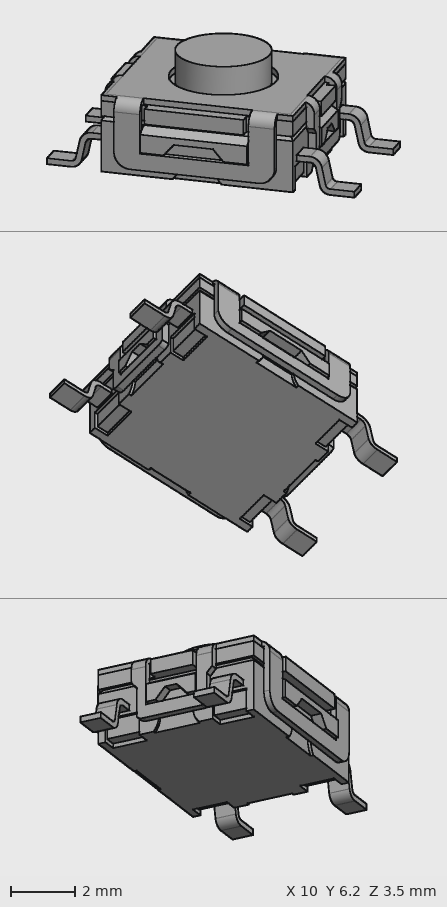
import cadquery as cq
import math


BODY_X = 6.24
BODY_Y = 5.48
BASE_BOTTOM = 0.1
BASE_SHOULDER = 1.79
BASE_TOP = 1.94
SHOULDER_INSET = 0.11

SWITCH_X = 6.92
SWITCH_Y = 6.2
LUG_BOTTOM = 1.0
LUG_EDGE = 1.6
LUG_NOTCH_TOP = 1.38
LUG_NOTCH_TAPER = 0.34
FRONT_LUG_WIDTH = 3.47
SIDE_LUG_WIDTH = 1.72
FRONT_NOTCH_WIDTH = 1.94
SIDE_NOTCH_WIDTH = 1.08

FLARE_NECK = 1.2
FLARE_RADIUS = 0.75
FLARE_TOP = 0.6
FLARE_DEPTH = 0.1

TERMINAL_SPAN = 10.0
TERMINAL_PITCH = 4.0
TERMINAL_WIDTH = 0.72
TERMINAL_THICK = 0.2
TERMINAL_TOP = 1.2
UPPER_BEND_X = 3.55
LOWER_BEND_X = 4.21
UPPER_BEND_OUTER = 0.4
LOWER_BEND_INNER = 0.15
UPPER_BEND_INNER = UPPER_BEND_OUTER - TERMINAL_THICK
LOWER_BEND_OUTER = LOWER_BEND_INNER + TERMINAL_THICK

RELIEF_INNER_Y = 1.29
RELIEF_OUTER_Y = 2.48
RELIEF_TOP = 0.88
RELIEF_DEPTH = 0.1
UNDERCUT_TOP = 0.25
UNDERCUT_DEPTH = 0.5

CAP_TOP = 2.44
TAB_SETBACK = 0.05
FRONT_TAB_WIDTH = 3.22
SIDE_TAB_WIDTH = 1.48
KEY_DIAMETER = 3.0
KEY_TOP = 3.5

COVER_X = 6.8
COVER_Y = 6.06
COVER_TOP = 2.64
COVER_INNER_X = 6.28
COVER_INNER_Y = 5.64
COVER_BEND = 0.4
KEY_HOLE_DIAMETER = 3.4
WINDOW_BOTTOM = 0.94
FRONT_WINDOW_WIDTH = 3.53
FRONT_WINDOW_BACK = 2.64
SIDE_WINDOW_BACK = COVER_X / 2 - COVER_BEND
SIDE_WINDOW_LOW_Y = -SIDE_LUG_WIDTH / 2
SIDE_WINDOW_HIGH_Y = 0.92
FRONT_FRAME_WIDTH = 5.22
FRONT_FRAME_BOTTOM = 0.39
FRONT_FRAME_CORNER = 0.52
SIDE_FRAME_WIDTH = 2.84
SIDE_FRAME_WAIST = 2.45
SIDE_FRAME_BOTTOM = 0.5
SIDE_FRAME_TAPER_TOP = 1.76
SIDE_FRAME_TAPER_BOTTOM = 1.55
SIDE_FRAME_CORNER_RUN = 0.2
SIDE_FRAME_CORNER_RISE = 0.08
SIDE_FRAME_CORNER_RADIUS = 0.3


def box(x_range, y_range, z_range):
    """Axis-aligned box from three (low, high) pairs."""
    sizes = [high - low for low, high in (x_range, y_range, z_range)]
    corner = (x_range[0], y_range[0], z_range[0])
    return cq.Workplane("XY").box(*sizes, centered=False).translate(corner)


def block(size_x, size_y, bottom, top):
    """Box centred on the Z axis."""
    return box((-size_x / 2, size_x / 2), (-size_y / 2, size_y / 2), (bottom, top))


def lug_bar(width, reach, wall):
    """Bar along X that forms the front and the rear lug, sloping down from the wall to the lug edge."""
    profile = [
        (-reach, LUG_BOTTOM),
        (-reach, LUG_EDGE),
        (-wall, BASE_SHOULDER),
        (wall, BASE_SHOULDER),
        (reach, LUG_EDGE),
        (reach, LUG_BOTTOM),
    ]
    return cq.Workplane("YZ").polyline(profile).close().extrude(width / 2, both=True)


def lug_notches(width, reach, wall):
    """Trapezoidal notches that open at the bottom of the front and the rear lug."""
    half = width / 2
    profile = [
        (-half, LUG_BOTTOM),
        (half, LUG_BOTTOM),
        (half - LUG_NOTCH_TAPER, LUG_NOTCH_TOP),
        (-half + LUG_NOTCH_TAPER, LUG_NOTCH_TOP),
    ]
    bar = cq.Workplane("XZ").polyline(profile).close().extrude(reach, both=True)
    return bar.cut(block(width, 2 * wall, LUG_BOTTOM, LUG_NOTCH_TOP))


def flared_recesses(wall):
    """Recesses in the front and the rear wall, with arc sides that widen towards the bottom."""
    neck = FLARE_NECK / 2
    drop = FLARE_TOP - BASE_BOTTOM
    foot = neck + FLARE_RADIUS - math.sqrt(FLARE_RADIUS**2 - drop**2)
    middle_drop = drop / 2
    middle = neck + FLARE_RADIUS - math.sqrt(FLARE_RADIUS**2 - middle_drop**2)
    middle_z = FLARE_TOP - middle_drop
    bar = (
        cq.Workplane("XZ")
        .moveTo(-foot, BASE_BOTTOM)
        .lineTo(foot, BASE_BOTTOM)
        .threePointArc((middle, middle_z), (neck, FLARE_TOP))
        .lineTo(-neck, FLARE_TOP)
        .threePointArc((-middle, middle_z), (-foot, BASE_BOTTOM))
        .close()
        .extrude(wall, both=True)
    )
    return bar.cut(block(2 * foot, 2 * (wall - FLARE_DEPTH), BASE_BOTTOM, FLARE_TOP))


def quarter_turn(shape):
    """Turn a front and rear feature to the two sides."""
    return shape.rotate((0, 0, 0), (0, 0, 1), 90)


def terminal_reliefs():
    """Recesses in the side walls below the terminals, deeper along the bottom edge."""
    half = BODY_X / 2
    reliefs = cq.Workplane("XY")
    for y_range in ((-RELIEF_OUTER_Y, -RELIEF_INNER_Y), (RELIEF_INNER_Y, RELIEF_OUTER_Y)):
        for side in (-1, 1):
            for depth, top in ((RELIEF_DEPTH, RELIEF_TOP), (UNDERCUT_DEPTH, UNDERCUT_TOP)):
                x_range = sorted((side * half, side * (half - depth)))
                reliefs = reliefs.add(box(x_range, y_range, (BASE_BOTTOM, top)))
    return reliefs.combine()


def terminal(center_y):
    """Strip that runs through the base and ends in a bent foot on each side."""
    foot_end = TERMINAL_SPAN / 2
    upper_z = TERMINAL_TOP - UPPER_BEND_OUTER
    lower_z = LOWER_BEND_OUTER
    run = LOWER_BEND_X - UPPER_BEND_X
    drop = upper_z - lower_z
    radius_sum = UPPER_BEND_OUTER + LOWER_BEND_INNER
    lean = math.acos(radius_sum / math.hypot(run, drop)) - math.atan2(drop, run)

    def on_upper(radius, angle):
        return UPPER_BEND_X + radius * math.cos(angle), upper_z + radius * math.sin(angle)

    def on_lower(radius, angle):
        return LOWER_BEND_X - radius * math.cos(angle), lower_z - radius * math.sin(angle)

    middle = (lean + math.pi / 2) / 2
    leg = (
        cq.Workplane("XZ")
        .moveTo(0, TERMINAL_TOP)
        .lineTo(UPPER_BEND_X, TERMINAL_TOP)
        .threePointArc(on_upper(UPPER_BEND_OUTER, middle), on_upper(UPPER_BEND_OUTER, lean))
        .lineTo(*on_lower(LOWER_BEND_INNER, lean))
        .threePointArc(on_lower(LOWER_BEND_INNER, middle), (LOWER_BEND_X, TERMINAL_THICK))
        .lineTo(foot_end, TERMINAL_THICK)
        .lineTo(foot_end, 0)
        .lineTo(LOWER_BEND_X, 0)
        .threePointArc(on_lower(LOWER_BEND_OUTER, middle), on_lower(LOWER_BEND_OUTER, lean))
        .lineTo(*on_upper(UPPER_BEND_INNER, lean))
        .threePointArc(on_upper(UPPER_BEND_INNER, middle), (UPPER_BEND_X, TERMINAL_TOP - TERMINAL_THICK))
        .lineTo(0, TERMINAL_TOP - TERMINAL_THICK)
        .close()
        .extrude(TERMINAL_WIDTH / 2, both=True)
    )
    return leg.union(leg.mirror("YZ")).translate((0, center_y, 0))


def make_base(terminals):
    """Block with a sloped shoulder, four lugs and wall recesses, moulded around the terminals."""
    half_x = BODY_X / 2
    half_y = BODY_Y / 2
    shoulder_height = BASE_TOP - BASE_SHOULDER
    base = block(BODY_X, BODY_Y, BASE_BOTTOM, BASE_TOP)
    base = base.faces(">Z").edges().chamfer(shoulder_height, SHOULDER_INSET)
    base = base.union(lug_bar(FRONT_LUG_WIDTH, SWITCH_Y / 2, half_y))
    base = base.union(quarter_turn(lug_bar(SIDE_LUG_WIDTH, SWITCH_X / 2, half_x)))
    base = base.cut(lug_notches(FRONT_NOTCH_WIDTH, SWITCH_Y / 2, half_y))
    base = base.cut(quarter_turn(lug_notches(SIDE_NOTCH_WIDTH, SWITCH_X / 2, half_x)))
    base = base.cut(flared_recesses(half_y))
    base = base.cut(quarter_turn(flared_recesses(half_x)))
    base = base.cut(terminal_reliefs())
    for strip in terminals:
        base = base.cut(strip)
    return base


def make_seal_cap():
    """Plate between base and cover, with a tab in each cover window and the round key on top."""
    plate = block(BODY_X, BODY_Y, BASE_TOP, CAP_TOP)
    front_tabs = block(FRONT_TAB_WIDTH, SWITCH_Y - 2 * TAB_SETBACK, BASE_TOP, CAP_TOP)
    side_tabs = block(SWITCH_X - 2 * TAB_SETBACK, SIDE_TAB_WIDTH, BASE_TOP, CAP_TOP)
    key = cq.Workplane("XY").workplane(offset=BASE_TOP).circle(KEY_DIAMETER / 2).extrude(KEY_TOP - BASE_TOP)
    return plate.union(front_tabs).union(side_tabs).union(key)


def front_frame():
    """Outline of the front and rear flanges, as a bar along Y."""
    bar = block(FRONT_FRAME_WIDTH, COVER_Y, FRONT_FRAME_BOTTOM, COVER_TOP)
    return bar.edges("|Y and <Z").fillet(FRONT_FRAME_CORNER)


def side_frame():
    """Outline of the side flanges, as a bar along X that tapers to a narrower waist."""
    half = SIDE_FRAME_WIDTH / 2
    waist = SIDE_FRAME_WAIST / 2
    foot = waist - SIDE_FRAME_CORNER_RUN
    corner_z = SIDE_FRAME_BOTTOM + SIDE_FRAME_CORNER_RISE
    return (
        cq.Workplane("YZ")
        .moveTo(-half, COVER_TOP)
        .lineTo(-half, SIDE_FRAME_TAPER_TOP)
        .lineTo(-waist, SIDE_FRAME_TAPER_BOTTOM)
        .lineTo(-waist, corner_z)
        .radiusArc((-foot, SIDE_FRAME_BOTTOM), -SIDE_FRAME_CORNER_RADIUS)
        .lineTo(foot, SIDE_FRAME_BOTTOM)
        .radiusArc((waist, corner_z), -SIDE_FRAME_CORNER_RADIUS)
        .lineTo(waist, SIDE_FRAME_TAPER_BOTTOM)
        .lineTo(half, SIDE_FRAME_TAPER_TOP)
        .lineTo(half, COVER_TOP)
        .close()
        .extrude(COVER_X / 2, both=True)
    )


def cover_windows():
    """Openings for the lugs and tabs, which also cut into the edges of the top plate."""
    half_x = COVER_X / 2
    half_y = COVER_Y / 2
    half_width = FRONT_WINDOW_WIDTH / 2
    z_range = (WINDOW_BOTTOM, COVER_TOP)
    windows = cq.Workplane("XY")
    for y_range in ((-half_y, -FRONT_WINDOW_BACK), (FRONT_WINDOW_BACK, half_y)):
        windows = windows.add(box((-half_width, half_width), y_range, z_range))
    for x_range in ((-half_x, -SIDE_WINDOW_BACK), (SIDE_WINDOW_BACK, half_x)):
        windows = windows.add(box(x_range, (SIDE_WINDOW_LOW_Y, SIDE_WINDOW_HIGH_Y), z_range))
    return windows.combine()


def make_cover():
    """Sheet metal cover: a top plate with a bent flange on each side, each framing a window."""
    shell = block(COVER_X, COVER_Y, 0, COVER_TOP).faces(">Z").edges().fillet(COVER_BEND)
    shell = shell.cut(block(COVER_INNER_X, COVER_INNER_Y, 0, CAP_TOP))
    outline = block(BODY_X, BODY_Y, CAP_TOP, COVER_TOP).union(front_frame()).union(side_frame())
    key_hole = cq.Workplane("XY").circle(KEY_HOLE_DIAMETER / 2).extrude(COVER_TOP)
    return shell.intersect(outline).cut(cover_windows()).cut(key_hole)


terminals = [terminal(side * TERMINAL_PITCH / 2) for side in (-1, 1)]
base = make_base(terminals)
seal_cap = make_seal_cap()
cover = make_cover()

bodies = [base, seal_cap, cover, *terminals]
result = cq.Compound.makeCompound([body.solids().val() for body in bodies])